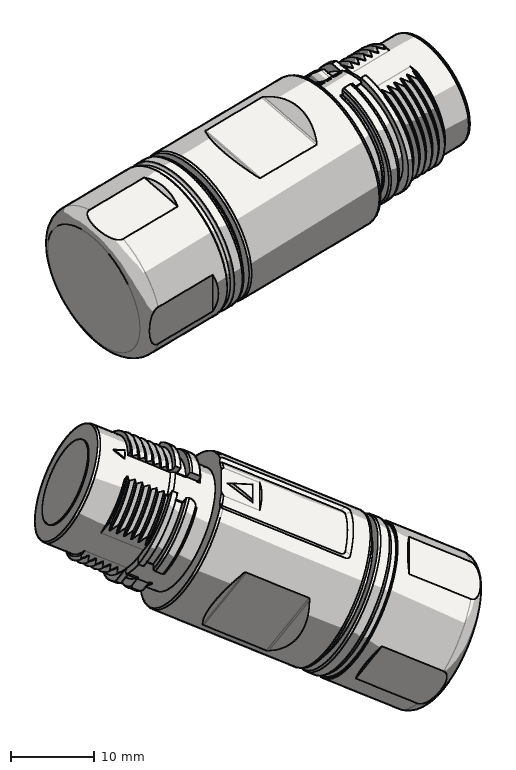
import cadquery as cq
import math


length = 52.7
nose_front = 52.55
thread_front = 48.45
thread_rear = 42.55
cone_rear = 42.0
flange_rear = 41.8
ring_front = 40.45
ring_rear = 38.9
pocket_rear = 38.5
sleeve_front = 36.45
sleeve_rear = 15.9
band_front = 15.05
band_rear = 13.45
cap_front = 12.5
cap_round_start = 2.0

outer_radius = 10.25
nose_radius = 7.72
plug_face_radius = 5.55
neck_radius = 8.035
pocket_radius = 7.9
core_radius = 7.4
flange_radius = 8.95
seal_groove_radius = 8.85
band_groove_radius = 9.95
cap_face_radius = 8.7
cap_round_radius = 2.05

edge_length = 0.3
edge_depth = 0.1

pitch = 1.0
thread_crest_radius = 8.4
thread_root_radius = 7.9
thread_overlap = 0.05
thread_base_share = 0.97
thread_crest_station = 47.45
thread_top = 7.245
thread_wide_top = 7.615
thread_lower_top = -3.5

bayonet_top = 7.05
bayonet_lower_top = -3.6
ring_edge = 0.2
ring_lead_radius = 1.2

sleeve_flat_height = 8.85
sleeve_flat_front = 30.65
sleeve_flat_rear = 21.7
sleeve_flat_fillet = 0.3
cap_flat_height = 9.75
cap_flat_front = 10.55

label_floor_radius = 9.83
label_floor_half_width = 3.7
label_rim_half_width = 4.3
label_floor_end = 19.15
label_rim_end = 18.55
label_corner_radius = 1.05
window_floor = 9.55
window_half_width = 2.35
window_end = 31.15
window_draft = 25
arrow_tip = 35.6
arrow_base = 32.1
arrow_half_width = 1.55
arrow_draft = 35
nose_arrow_tip = 50.4
nose_arrow_base = 48.8
nose_arrow_half_width = 0.75
nose_arrow_depth = 0.1

clearance = 2.65
reach = outer_radius + clearance


def block(x_range, y_range, z_range):
    """Axis-aligned box given by its limits."""
    corner = (x_range[0], y_range[0], z_range[0])
    size = [limits[1] - limits[0] for limits in (x_range, y_range, z_range)]
    return cq.Workplane("XY").box(*size, centered=False).translate(corner)


def tube(y_range, radius, inner_radius):
    """Hollow cylinder about the Y axis."""
    profile = cq.Workplane("XY").moveTo(inner_radius, y_range[0])
    profile = profile.lineTo(radius, y_range[0]).lineTo(radius, y_range[1])
    return profile.lineTo(inner_radius, y_range[1]).close().revolve(360, (0, 0), (0, 1))


def cut_around(body, cutter, count):
    """Cut equally spaced copies of a cutter around the axis."""
    for index in range(count):
        body = body.cut(cutter.rotate((0, 0, 0), (0, 1, 0), 360 * index / count))
    return body


def turned_body():
    """Whole outside shape as one profile turned about the Y axis."""
    edge_radius = outer_radius - edge_depth
    profile = (
        cq.Workplane("XY")
        .moveTo(outer_radius, cap_round_start)
        .lineTo(outer_radius, cap_front - edge_depth)
        .lineTo(edge_radius, cap_front)
        .lineTo(band_groove_radius, cap_front)
        .lineTo(band_groove_radius, band_rear - edge_length)
        .lineTo(edge_radius, band_rear)
        .lineTo(outer_radius, band_rear + edge_depth)
        .lineTo(outer_radius, band_front - edge_length)
        .lineTo(edge_radius, band_front)
        .lineTo(seal_groove_radius, band_front)
        .lineTo(seal_groove_radius, sleeve_rear)
        .lineTo(edge_radius, sleeve_rear)
        .lineTo(outer_radius, sleeve_rear + edge_length)
        .lineTo(outer_radius, sleeve_front - edge_length)
        .lineTo(edge_radius, sleeve_front)
        .lineTo(neck_radius, sleeve_front)
        .lineTo(neck_radius, cone_rear)
        .lineTo(nose_radius, thread_rear)
        .lineTo(nose_radius, nose_front - edge_length)
        .lineTo(nose_radius - edge_depth, nose_front)
        .lineTo(plug_face_radius, nose_front)
        .lineTo(plug_face_radius, length)
        .lineTo(0, length)
        .lineTo(0, 0)
        .lineTo(cap_face_radius, 0)
        .radiusArc((outer_radius, cap_round_start), -cap_round_radius)
        .close()
    )
    return profile.revolve(360, (0, 0), (0, 1))


def cut_sleeve_flats(body):
    """Two opposite flats with 45 degree ends."""
    slope = reach - sleeve_flat_height
    outline = (
        cq.Workplane("YZ")
        .moveTo(sleeve_flat_rear, sleeve_flat_height)
        .lineTo(sleeve_flat_front, sleeve_flat_height)
        .lineTo(sleeve_flat_front + slope, reach)
        .lineTo(sleeve_flat_rear - slope, reach)
        .close()
    )
    cutter = outline.extrude(reach, both=True).faces("<Z").edges("|X").fillet(sleeve_flat_fillet)
    return cut_around(body, cutter, 2)


def cut_cap_flats(body):
    """Four flats around the cap, each with a 45 degree front end."""
    slope = reach - cap_flat_height
    outline = (
        cq.Workplane("YZ")
        .moveTo(-clearance, cap_flat_height)
        .lineTo(cap_flat_front, cap_flat_height)
        .lineTo(cap_flat_front + slope, reach)
        .lineTo(-clearance, reach)
        .close()
    )
    cutter = outline.extrude(reach, both=True)
    return cut_around(body, cutter, 4)


def arrow(tip, base, half_width, inner, outer, draft=0):
    """Triangular prism on the -X side pointing to +Y, between two distances from the axis."""
    outline = (
        cq.Workplane("YZ", origin=(-inner, 0, 0))
        .moveTo(tip, 0)
        .lineTo(base, half_width)
        .lineTo(base, -half_width)
        .close()
    )
    return outline.extrude(inner - outer, taper=draft)


def cut_label(body):
    """Recess with sloped walls on the -X side, holding a sunken window with a raised arrow."""
    end_slope = (label_floor_end - label_rim_end) / (outer_radius - label_floor_radius)
    open_end = sleeve_front + clearance
    end_reach = label_floor_end - end_slope * (reach - label_floor_radius)
    band = (
        cq.Workplane("XY")
        .moveTo(label_floor_radius, label_floor_end)
        .lineTo(reach, end_reach)
        .lineTo(reach, open_end)
        .lineTo(label_floor_radius - edge_depth, open_end)
        .lineTo(label_floor_radius - edge_depth, sleeve_front)
        .lineTo(label_floor_radius, sleeve_front - edge_length)
        .close()
        .revolve(360, (0, 0), (0, 1))
    )
    floor_side = math.sqrt(label_floor_radius**2 - label_floor_half_width**2)
    rim_side = math.sqrt(outer_radius**2 - label_rim_half_width**2)
    side_slope = (label_rim_half_width - label_floor_half_width) / (rim_side - floor_side)
    trough_top = outer_radius + edge_length
    top_half_width = label_floor_half_width + side_slope * (trough_top - floor_side)
    trough = (
        cq.Workplane("XZ")
        .moveTo(-floor_side, label_floor_half_width)
        .lineTo(-trough_top, top_half_width)
        .lineTo(-trough_top, -top_half_width)
        .lineTo(-floor_side, -label_floor_half_width)
        .close()
        .extrude(-open_end)
    )
    recess = trough.intersect(band)
    end_edges = recess.edges("%HYPERBOLA").vals()
    corners = [edge for edge in end_edges if abs(edge.Center().z) > label_floor_half_width]
    recess = recess.newObject(corners).fillet(label_corner_radius)
    window = (
        cq.Workplane("YZ", origin=(-window_floor, (window_end + open_end) / 2, 0))
        .rect(open_end - window_end, 2 * window_half_width)
        .extrude(window_floor - reach, taper=-window_draft)
    )
    raised = arrow(arrow_tip, arrow_base, arrow_half_width, window_floor, label_floor_radius, arrow_draft)
    return body.cut(recess).cut(window.cut(raised))


def cut_nose_arrow(body):
    """Shallow pointer ahead of the thread on the -X side."""
    floor = nose_radius - nose_arrow_depth
    return body.cut(arrow(nose_arrow_tip, nose_arrow_base, nose_arrow_half_width, floor, reach))


def add_thread(body):
    """Right-hand thread kept on two sectors of the -X side and one of the +X side."""
    base_radius = thread_root_radius - thread_overlap
    base_half_width = thread_base_share * pitch / 2
    spare_turns = 2
    turns = math.ceil((thread_front - thread_rear) / pitch) + spare_turns
    start = thread_crest_station - (turns - spare_turns + 0.5) * pitch
    helix = cq.Wire.makeHelix(pitch, turns * pitch, base_radius, cq.Vector(0, start, 0), cq.Vector(0, 1, 0))
    ridge = (
        cq.Workplane("YZ")
        .moveTo(start - base_half_width, base_radius)
        .lineTo(start, thread_crest_radius)
        .lineTo(start + base_half_width, base_radius)
        .close()
        .sweep(cq.Workplane(helix), isFrenet=True)
        .rotate((0, 0, 0), (0, 1, 0), 90)
    )
    y_range = (thread_rear, thread_front)
    core = tube(y_range, thread_root_radius, core_radius)
    sectors = [
        block((-reach, 0), y_range, (0, thread_top)),
        block((-reach, 0), y_range, (-thread_wide_top, thread_lower_top)),
        block((0, reach), y_range, (-thread_top, thread_wide_top)),
    ]
    for sector in sectors:
        body = body.union(core.intersect(sector).union(ridge.intersect(sector)))
    return body


def bayonet_zones(y_range):
    """Zones carrying the flange and the bayonet ring: two on the -X side and one on the +X side."""
    return [
        block((-reach, 0), y_range, (0, bayonet_top)),
        block((-reach, 0), y_range, (-reach, bayonet_lower_top)),
        block((0, reach), y_range, (-bayonet_top, reach)),
    ]


def add_bayonet(body):
    """Front flange and locking ring, both interrupted, over a shallow pocket."""
    pocket = tube((pocket_rear, flange_rear), reach, pocket_radius)
    for zone in bayonet_zones((pocket_rear, flange_rear)):
        body = body.cut(pocket.intersect(zone))

    flange = tube((flange_rear, thread_rear), flange_radius, core_radius)
    for zone in bayonet_zones((flange_rear, thread_rear)):
        body = body.union(flange.intersect(zone))

    ring = (
        cq.Workplane("XY")
        .moveTo(core_radius, ring_rear)
        .lineTo(flange_radius - ring_edge, ring_rear)
        .lineTo(flange_radius, ring_rear + ring_edge)
        .lineTo(flange_radius, ring_front - edge_length)
        .lineTo(flange_radius - edge_depth, ring_front)
        .lineTo(core_radius, ring_front)
        .close()
        .revolve(360, (0, 0), (0, 1))
    )
    for zone in bayonet_zones((ring_rear, ring_front)):
        lead_in = zone.faces(">Z").edges("<Y").fillet(ring_lead_radius)
        body = body.union(ring.intersect(lead_in))
    return body


result = turned_body()
result = cut_sleeve_flats(result)
result = cut_cap_flats(result)
result = cut_label(result)
result = cut_nose_arrow(result)
result = add_bayonet(result)
result = add_thread(result)